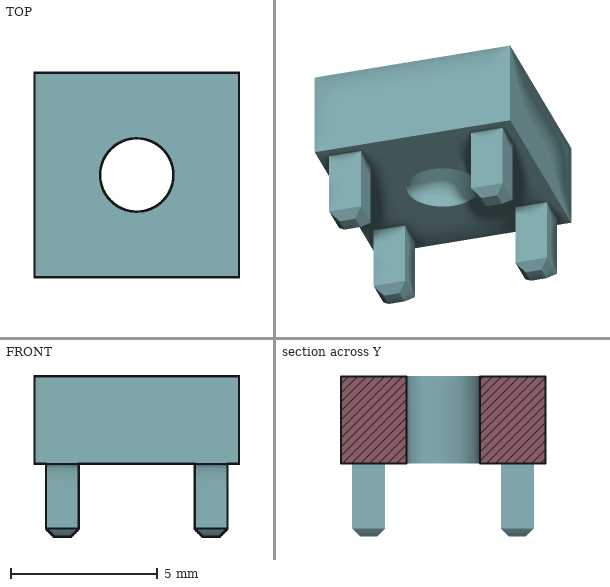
import cadquery as cq

block_side = 7.0
block_height = 3.0
hole_diameter = 2.5

leg_pitch = 5.08
leg_side = 1.13
leg_length = 2.5
tip_chamfer = 0.28


def make_block():
    """Square block with a central through hole, its underside on Z = 0."""
    return (
        cq.Workplane("XY")
        .rect(block_side, block_side)
        .circle(hole_diameter / 2)
        .extrude(block_height)
    )


def make_legs():
    """Four square legs hanging from Z = 0, with chamfered tips."""
    return (
        cq.Workplane("XY")
        .rarray(leg_pitch, leg_pitch, 2, 2)
        .rect(leg_side, leg_side)
        .extrude(-leg_length)
        .faces("<Z")
        .chamfer(tip_chamfer)
    )


result = make_block().union(make_legs())